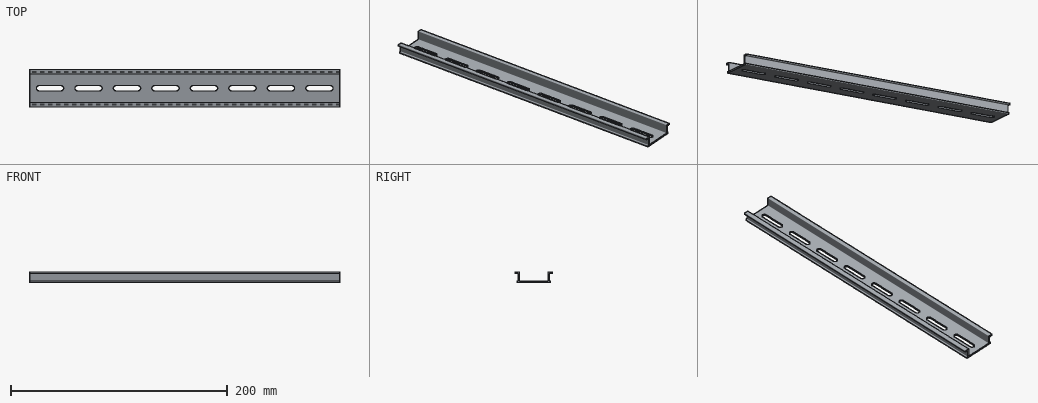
import cadquery as cq

length = 286.0
width = 35.0
height = 10.0
wall = 1.5

base_width = 31.2
web_span = 29.0
channel_width = web_span - 2 * wall

corner_radius = 0.25

slot_count = 8
slot_pitch = 35.5
slot_length = 25.0
slot_width = 4.7


def round_corners(body, corners, radius):
    """Round the lengthwise edges at each (y, z) corner and at its mirror image across the XZ plane."""
    for y, z in corners:
        for side in (-1, 1):
            edge = body.edges(cq.selectors.NearestToPointSelector((0, side * y, z)))
            body = edge.fillet(radius)
    return body


def rail_body():
    """Flat base, two upright webs and two outward lips along the top."""
    half_profile = [
        (base_width / 2, 0),
        (base_width / 2, wall),
        (web_span / 2, wall),
        (web_span / 2, height - wall),
        (width / 2, height - wall),
        (width / 2, height),
        (channel_width / 2, height),
        (channel_width / 2, wall),
    ]
    mirrored = [(-y, z) for y, z in reversed(half_profile)]
    profile = half_profile + mirrored
    body = cq.Workplane("YZ").polyline(profile).close().extrude(length / 2, both=True)

    return round_corners(body, half_profile, corner_radius)


def mounting_slots():
    """Row of round-ended slots along the centre of the base."""
    row = cq.Workplane("XY").rarray(slot_pitch, 1, slot_count, 1)
    return row.slot2D(slot_length, slot_width).extrude(wall)


result = rail_body().cut(mounting_slots())